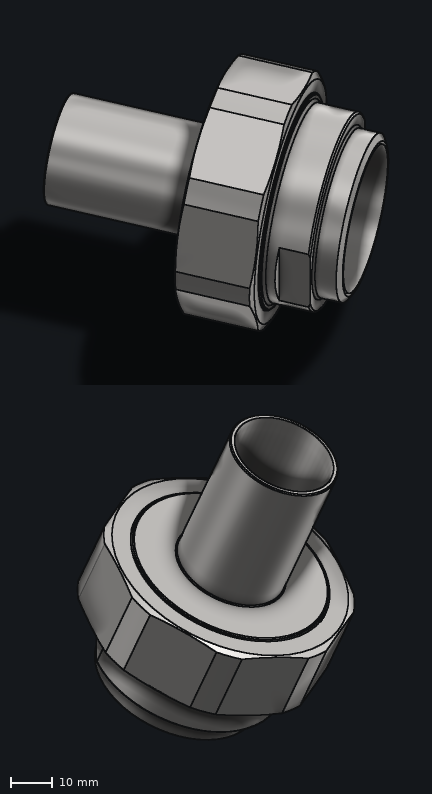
import cadquery as cq
import math


total_length = 77.5
collar_face_x = 37.9
nut_front_x = 38.4
nut_rear_x = 58.5
nut_lip_end_x = 43.0
joint_x = 46.5
shoulder_end_x = 59.0
barrel_end_x = 70.45
flat_start_x = 62.6

pipe_diameter = 28.0
pipe_bore = 25.6
pipe_end_chamfer = 0.3
pipe_root_chamfer = 0.3
collar_diameter = 50.5
collar_chamfer = 0.3

nut_side_count = 8
nut_across_flats = 62.0
nut_corner_diameter = 64.7
nut_face_diameter = 61.1
nut_chamfer_angle = 20.0
nut_lip_bore = 51.45
nut_bore = 54.4

shoulder_diameter = 54.0
shoulder_chamfer = 0.3
barrel_diameter = 50.0
barrel_root_chamfer = 0.8
barrel_end_chamfer = 0.5
barrel_across_flats = 45.95
flat_end_angle = 15.0
weld_end_diameter = 42.4
weld_end_root_chamfer = 0.6
weld_end_bore = 37.2
bevel_angle = 30.0
weld_land = 0.8


def revolve_about_x(points):
    """Turn an outline of (x, radius) points around the X axis."""
    return cq.Workplane("XY").polyline(points).close().revolve(360, (0, 0, 0), (1, 0, 0))


def make_tail():
    """Thin pipe with a collar through the nut lip and a flange held behind it."""
    bore = pipe_bore / 2
    pipe = pipe_diameter / 2
    collar = collar_diameter / 2
    flange = shoulder_diameter / 2
    return revolve_about_x([
        (0, bore),
        (0, pipe - pipe_end_chamfer),
        (pipe_end_chamfer, pipe),
        (collar_face_x - pipe_root_chamfer, pipe),
        (collar_face_x, pipe + pipe_root_chamfer),
        (collar_face_x, collar - collar_chamfer),
        (collar_face_x + collar_chamfer, collar),
        (nut_lip_end_x, collar),
        (nut_lip_end_x, flange),
        (joint_x, flange),
        (joint_x, bore),
    ])


def make_nut():
    """Octagonal nut with turned corners, chamfered end faces and a retaining lip."""
    face = nut_face_diameter / 2
    corner = nut_corner_diameter / 2
    chamfer_length = (corner - face) * math.tan(math.radians(nut_chamfer_angle))
    turned_blank = revolve_about_x([
        (nut_front_x, nut_lip_bore / 2),
        (nut_front_x, face),
        (nut_front_x + chamfer_length, corner),
        (nut_rear_x - chamfer_length, corner),
        (nut_rear_x, face),
        (nut_rear_x, nut_bore / 2),
        (nut_lip_end_x, nut_bore / 2),
        (nut_lip_end_x, nut_lip_bore / 2),
    ])
    half_side_angle = 180 / nut_side_count
    octagon = (
        cq.Workplane("YZ", origin=(nut_front_x, 0, 0))
        .polygon(nut_side_count, nut_across_flats, circumscribed=True)
        .extrude(nut_rear_x - nut_front_x)
        .rotate((0, 0, 0), (1, 0, 0), half_side_angle)
    )
    return turned_blank.intersect(octagon)


def make_flat_cutter():
    """Wedge-ended block that cuts one wrench flat on the +Y side of the barrel."""
    flat_y = barrel_across_flats / 2
    outer_y = shoulder_diameter / 2
    slope_run = (outer_y - flat_y) * math.tan(math.radians(flat_end_angle))
    return (
        cq.Workplane("XY")
        .polyline([
            (flat_start_x, flat_y),
            (barrel_end_x, flat_y),
            (barrel_end_x, outer_y),
            (flat_start_x - slope_run, outer_y),
        ])
        .close()
        .extrude(barrel_diameter / 2, both=True)
    )


def make_housing():
    """Shouldered barrel with two wrench flats and a bevelled weld end."""
    bore = weld_end_bore / 2
    shoulder = shoulder_diameter / 2
    barrel = barrel_diameter / 2
    weld_end = weld_end_diameter / 2
    bevel_radius = bore + weld_land
    bevel_length = (weld_end - bevel_radius) * math.tan(math.radians(bevel_angle))
    housing = revolve_about_x([
        (joint_x, bore),
        (joint_x, shoulder),
        (shoulder_end_x - shoulder_chamfer, shoulder),
        (shoulder_end_x, shoulder - shoulder_chamfer),
        (shoulder_end_x, barrel + barrel_root_chamfer),
        (shoulder_end_x + barrel_root_chamfer, barrel),
        (barrel_end_x - barrel_end_chamfer, barrel),
        (barrel_end_x, barrel - barrel_end_chamfer),
        (barrel_end_x, weld_end + weld_end_root_chamfer),
        (barrel_end_x + weld_end_root_chamfer, weld_end),
        (total_length - bevel_length, weld_end),
        (total_length, bevel_radius),
        (total_length, bore),
    ])
    flat_cutter = make_flat_cutter()
    return housing.cut(flat_cutter).cut(flat_cutter.mirror("XZ"))


tail = make_tail()
nut = make_nut()
housing = make_housing()

result = cq.Compound.makeCompound([tail.val(), nut.val(), housing.val()])